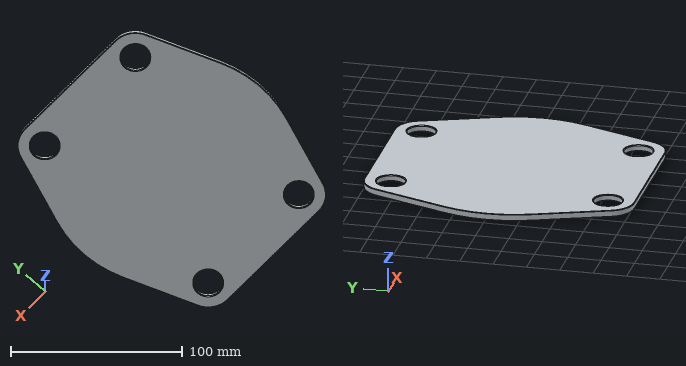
import cadquery as cq
import math

thickness = 4.0
length = 162.0
side_radius = 75.0
edge_chamfer = 0.3

hole_diameter = 17.0
hole_spacing_x = 77.8
hole_spacing_y = 130.2
hole_chamfer = 0.5

corner_x = hole_spacing_x / 2
corner_y = hole_spacing_y / 2
corner_radius = length / 2 - corner_y

corner_distance = math.hypot(corner_x, corner_y)
corner_angle = math.atan2(corner_y, corner_x)
flank_angle = corner_angle - math.acos((side_radius - corner_radius) / corner_distance)


def arc_point(center_x, center_y, radius, angle):
    """Point on a circle at the given angle from +X."""
    return (center_x + radius * math.cos(angle), center_y + radius * math.sin(angle))


def mirrored(point, sign_x, sign_y):
    """Point moved to another quadrant of the symmetric plate."""
    return (sign_x * point[0], sign_y * point[1])


def make_plate():
    """Plate with straight ends and flanks, rounded corners, bulging sides and broken edges."""
    side_end = arc_point(0, 0, side_radius, flank_angle)
    corner_start = arc_point(corner_x, corner_y, corner_radius, flank_angle)
    corner_middle_angle = (flank_angle + math.pi / 2) / 2
    corner_middle = arc_point(corner_x, corner_y, corner_radius, corner_middle_angle)
    corner_end = (corner_x, length / 2)

    outline = cq.Workplane("XY").moveTo(*mirrored(side_end, 1, -1))
    for side in (1, -1):
        outline = (
            outline.threePointArc((side * side_radius, 0), mirrored(side_end, side, side))
            .lineTo(*mirrored(corner_start, side, side))
            .threePointArc(mirrored(corner_middle, side, side), mirrored(corner_end, side, side))
            .lineTo(*mirrored(corner_end, -side, side))
            .threePointArc(mirrored(corner_middle, -side, side), mirrored(corner_start, -side, side))
            .lineTo(*mirrored(side_end, -side, side))
        )
    plate = outline.close().extrude(thickness)
    return plate.faces("|Z").edges().chamfer(edge_chamfer)


def cut_holes(plate):
    """Four through holes with chamfered rims on both faces."""
    hole_radius = hole_diameter / 2
    rim_radius = hole_radius + hole_chamfer
    hole_profile = [
        (0, 0),
        (rim_radius, 0),
        (hole_radius, hole_chamfer),
        (hole_radius, thickness - hole_chamfer),
        (rim_radius, thickness),
        (0, thickness),
    ]
    cutter = cq.Workplane("XZ").polyline(hole_profile).close().revolve(360, (0, 0), (0, 1))
    for sign_x in (-1, 1):
        for sign_y in (-1, 1):
            position = (sign_x * corner_x, sign_y * corner_y, 0)
            plate = plate.cut(cutter.translate(position))
    return plate


result = cut_holes(make_plate())